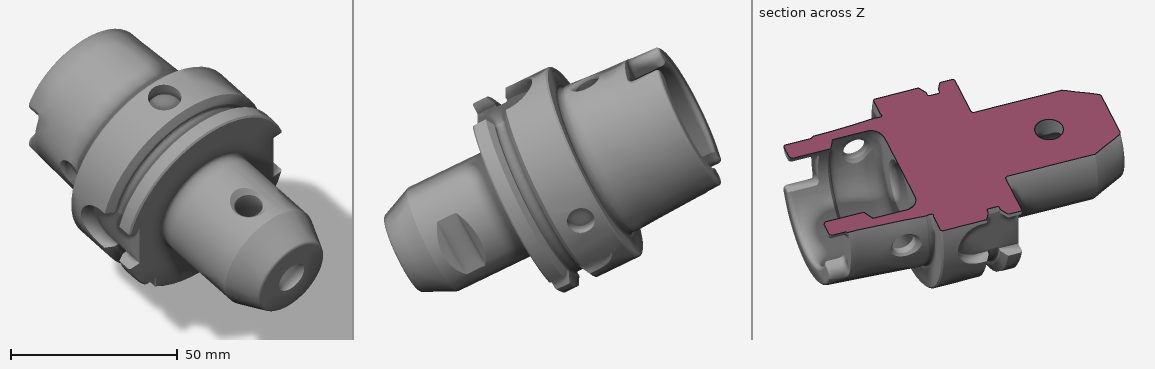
import cadquery as cq
import math


shank_length = 32.0
flange_width = 26.0
nose_end = 65.0

taper_slope = 1 / 19.96
gauge_diameter = 48.01
gauge_distance = 6.3
taper_root = 1.85
undercut_diameter = 48.13
undercut_chamfer = 0.6
root_radius = 0.6
face_relief_depth = 0.2
face_relief_radius = 25.25
end_rounding = 1.0

flange_radius = 63.0 / 2
flange_chamfer = 0.5
groove_center = 18.0
groove_width = 3.75
groove_radius = 55.0 / 2
groove_mouth_half = 3.375
groove_flank_angle = 30.0
groove_fillet = 0.4

nose_radius = 34.5 / 2
nose_fillet = 0.8
nose_cone_start = 54.7
nose_cone_angle = 24.0
nose_rounding = 1.0

bore_radius = 34.0 / 2
mouth_rounding = 1.25
lip_end = 18.9
clamp_face_angle = 30.0
cavity_radius = 40.0 / 2
floor_distance = 2.3
floor_fillet = 4.1
tube_hole_radius = 16.92 / 2
tube_hole_depth = 15.0
tube_hole_chamfer = 0.6
through_radius = 10.0 / 2

drive_slot_width = 12.54
front_slot_depth = 6.0
rear_slot_depth = 10.0
drive_slot_flare = 2.8
drive_slot_shelf = 20.7
drive_slot_floor_fillet = 1.5

front_flange_slot_width = 16.0
rear_flange_slot_width = 18.0
flange_slot_start = 5.0
flange_slot_floor = 26.5
notch_corner = 20.0
notch_start = 4.0
notch_cutter_radius = 8.0

shank_hole_x = -9.0
shank_hole_radius = 7.5 / 2
shank_hole_rim_radius = 4.8
shank_hole_inner_rim_radius = 8.5 / 2
shank_hole_rim_distance = 23.8
chip_hole_x = 6.9
chip_hole_radius = 10.0 / 2
chip_hole_depth = 4.6
tilted_hole_x = 7.0
tilted_hole_radius = 8.38 / 2
tilted_hole_depth = 4.6
tilted_hole_angle = 7.5
screw_x = 45.3
screw_radius = 8.5 / 2
screw_rim_radius = 6.05

balance_depth = 2.9
balance_mouth = 12.1

clearance = 10.0


def taper_radius(x):
    return gauge_diameter / 2 + (x + gauge_distance) * taper_slope


def revolve_about_x(profile):
    return profile.close().revolve(360, (0, 0, 0), (1, 0, 0))


def make_body():
    undercut_radius = undercut_diameter / 2
    knee_drop = (groove_mouth_half - groove_width / 2) / math.tan(math.radians(groove_flank_angle))
    knee_radius = flange_radius - knee_drop
    nose_tip_radius = nose_radius - (nose_end - nose_cone_start) * math.tan(math.radians(nose_cone_angle))
    arc_leg = root_radius * math.sqrt(0.5)
    relief_center = (face_relief_depth - root_radius, undercut_radius + root_radius)
    profile = (
        cq.Workplane("XY")
        .moveTo(-shank_length, 0)
        .lineTo(-shank_length, taper_radius(-shank_length))
        .lineTo(-taper_root, taper_radius(-taper_root))
        .lineTo(-taper_root + undercut_chamfer, undercut_radius)
        .lineTo(relief_center[0], undercut_radius)
        .threePointArc(
            (relief_center[0] + arc_leg, relief_center[1] - arc_leg),
            (face_relief_depth, relief_center[1]),
        )
        .lineTo(0, face_relief_radius)
        .lineTo(0, flange_radius - flange_chamfer)
        .lineTo(flange_chamfer, flange_radius)
        .lineTo(groove_center - groove_mouth_half, flange_radius)
        .lineTo(groove_center - groove_width / 2, knee_radius)
        .lineTo(groove_center - groove_width / 2, groove_radius)
        .lineTo(groove_center + groove_width / 2, groove_radius)
        .lineTo(groove_center + groove_width / 2, knee_radius)
        .lineTo(groove_center + groove_mouth_half, flange_radius)
        .lineTo(flange_width - flange_chamfer, flange_radius)
        .lineTo(flange_width, flange_radius - flange_chamfer)
        .lineTo(flange_width, nose_radius)
        .lineTo(nose_cone_start, nose_radius)
        .lineTo(nose_end, nose_tip_radius)
        .lineTo(nose_end, 0)
    )
    body = revolve_about_x(profile)

    def circle_at(x, radius):
        return body.edges(cq.selectors.BoxSelector(
            (x - 0.01, -radius - 0.01, -radius - 0.01),
            (x + 0.01, radius + 0.01, radius + 0.01),
            boundingbox=True,
        ))

    body = circle_at(groove_center - groove_width / 2, groove_radius).fillet(groove_fillet)
    body = circle_at(groove_center + groove_width / 2, groove_radius).fillet(groove_fillet)
    body = circle_at(flange_width, nose_radius).fillet(nose_fillet)
    return circle_at(nose_end, nose_tip_radius).fillet(nose_rounding)


def make_bore():
    clamp_run = (cavity_radius - bore_radius) * math.tan(math.radians(clamp_face_angle))
    floor_leg = floor_fillet * (1 - math.sqrt(0.5))
    mouth_leg = mouth_rounding * (1 - math.sqrt(0.5))
    tube_floor = tube_hole_depth - floor_distance
    profile = (
        cq.Workplane("XY")
        .moveTo(-shank_length, 0)
        .lineTo(-shank_length, bore_radius + mouth_rounding)
        .threePointArc(
            (-shank_length + mouth_leg, bore_radius + mouth_leg),
            (-shank_length + mouth_rounding, bore_radius),
        )
        .lineTo(-lip_end, bore_radius)
        .lineTo(-lip_end + clamp_run, cavity_radius)
        .lineTo(-floor_distance - floor_fillet, cavity_radius)
        .threePointArc(
            (-floor_distance - floor_leg, cavity_radius - floor_leg),
            (-floor_distance, cavity_radius - floor_fillet),
        )
        .lineTo(-floor_distance, tube_hole_radius + tube_hole_chamfer)
        .lineTo(-floor_distance + tube_hole_chamfer, tube_hole_radius)
        .lineTo(tube_floor, tube_hole_radius)
        .lineTo(tube_floor, through_radius)
        .lineTo(nose_end, through_radius)
        .lineTo(nose_end, 0)
    )
    return revolve_about_x(profile)


def drive_slot(depth, side):
    """Slot in the shank end on the +Y (side = 1) or -Y (side = -1) side, flaring outwards."""
    half = drive_slot_width / 2
    flare_start = drive_slot_shelf - drive_slot_flare
    reach = taper_radius(0) + clearance
    diagonal = drive_slot_flare * (1 - math.sqrt(0.5))
    slot = (
        cq.Workplane("YZ", origin=(-shank_length - clearance, 0, 0))
        .moveTo(0, -half)
        .lineTo(flare_start, -half)
        .threePointArc(
            (drive_slot_shelf - diagonal, -half - diagonal),
            (drive_slot_shelf, -half - drive_slot_flare),
        )
        .lineTo(drive_slot_shelf, -reach)
        .lineTo(reach, -reach)
        .lineTo(reach, reach)
        .lineTo(drive_slot_shelf, reach)
        .lineTo(drive_slot_shelf, half + drive_slot_flare)
        .threePointArc(
            (drive_slot_shelf - diagonal, half + diagonal),
            (flare_start, half),
        )
        .lineTo(0, half)
        .close()
        .extrude(clearance + depth)
    )
    rim = cq.selectors.BoxSelector(
        (-shank_length + depth - 0.01, 0.01, -reach + 0.01),
        (-shank_length + depth + 0.01, drive_slot_shelf + 0.01, reach - 0.01),
    )
    slot = slot.edges(rim).fillet(drive_slot_floor_fillet)
    if side < 0:
        slot = slot.mirror("XZ")
    return slot


def flange_slot(width, side):
    """Round-ended slot with a flat floor, open towards the nose side of the flange."""
    radius = width / 2
    center_x = flange_slot_start + radius
    run = flange_width + nose_fillet - center_x
    height = clearance
    middle_y = side * (flange_slot_floor + height / 2)
    straight = cq.Workplane("XY").box(run, height, width).translate((center_x + run / 2, middle_y, 0))
    end = (
        cq.Workplane("XZ", origin=(center_x, middle_y + height / 2, 0))
        .circle(radius)
        .extrude(height)
    )
    return straight.union(end)


def orientation_notch():
    """Open corner notch on the -Y, -Z side with a rounded end at the shank side."""
    center_x = notch_start + notch_cutter_radius
    run = flange_width + clearance - center_x
    width = 2 * notch_cutter_radius
    middle_z = -notch_corner - notch_cutter_radius
    straight = (
        cq.Workplane("XY")
        .box(run, width, width)
        .translate((center_x + run / 2, -notch_corner - width / 2, middle_z))
    )
    end = (
        cq.Workplane("XZ", origin=(center_x, -notch_corner, middle_z))
        .circle(notch_cutter_radius)
        .extrude(width)
    )
    return straight.union(end)


def radial_cone(x, direction, rim_radius, rim_distance, tip_radius):
    """45 degree countersink that narrows against the given direction."""
    overrun = 1.0
    depth = rim_radius - tip_radius
    return cq.Workplane(obj=cq.Solid.makeCone(
        rim_radius + overrun,
        tip_radius,
        depth + overrun,
        pnt=cq.Vector(x, 0, 0) + direction * (rim_distance + overrun),
        dir=direction * -1,
    ))


def radial_hole(x, direction, radius, inner, outer):
    return cq.Workplane(obj=cq.Solid.makeCylinder(
        radius, outer - inner, pnt=cq.Vector(x, 0, 0) + direction * inner, dir=direction,
    ))


def balance_groove():
    """Trapezoidal groove with 45 degree sides across the underside of the nose."""
    half = balance_mouth / 2
    return (
        cq.Workplane("XZ", origin=(screw_x, nose_radius + clearance, 0))
        .moveTo(-half - clearance, -nose_radius - clearance)
        .lineTo(-half + balance_depth, -nose_radius + balance_depth)
        .lineTo(half - balance_depth, -nose_radius + balance_depth)
        .lineTo(half + clearance, -nose_radius - clearance)
        .close()
        .extrude(2 * (nose_radius + clearance))
    )


holder = make_body()
holder = holder.cut(drive_slot(front_slot_depth, -1)).cut(drive_slot(rear_slot_depth, 1))
holder = holder.faces("<X").edges().fillet(end_rounding)
holder = holder.cut(make_bore())

holder = holder.cut(flange_slot(front_flange_slot_width, -1))
holder = holder.cut(flange_slot(rear_flange_slot_width, 1))
holder = holder.cut(orientation_notch())
up = cq.Vector(0, 0, 1)
holder = holder.cut(radial_hole(
    chip_hole_x, up, chip_hole_radius, flange_radius - chip_hole_depth, flange_radius + clearance,
))
tilt = math.radians(tilted_hole_angle)
tilted_down = cq.Vector(0, -math.sin(tilt), -math.cos(tilt))
holder = holder.cut(radial_hole(
    tilted_hole_x, tilted_down, tilted_hole_radius,
    flange_radius - tilted_hole_depth, flange_radius + clearance,
))

for sign in (1, -1):
    side = cq.Vector(0, sign, 0)
    holder = holder.cut(radial_hole(
        shank_hole_x, side, shank_hole_radius, bore_radius, shank_hole_rim_distance + clearance,
    ))
    holder = holder.cut(radial_cone(
        shank_hole_x, side, shank_hole_rim_radius, shank_hole_rim_distance, shank_hole_radius,
    ))
    holder = holder.cut(radial_cone(
        shank_hole_x, side * -1, shank_hole_inner_rim_radius, -cavity_radius, shank_hole_radius,
    ))

holder = holder.cut(radial_hole(screw_x, up, screw_radius, 0, nose_radius + clearance))
holder = holder.cut(radial_cone(screw_x, up, screw_rim_radius, nose_radius, screw_radius))
holder = holder.cut(balance_groove())

result = holder